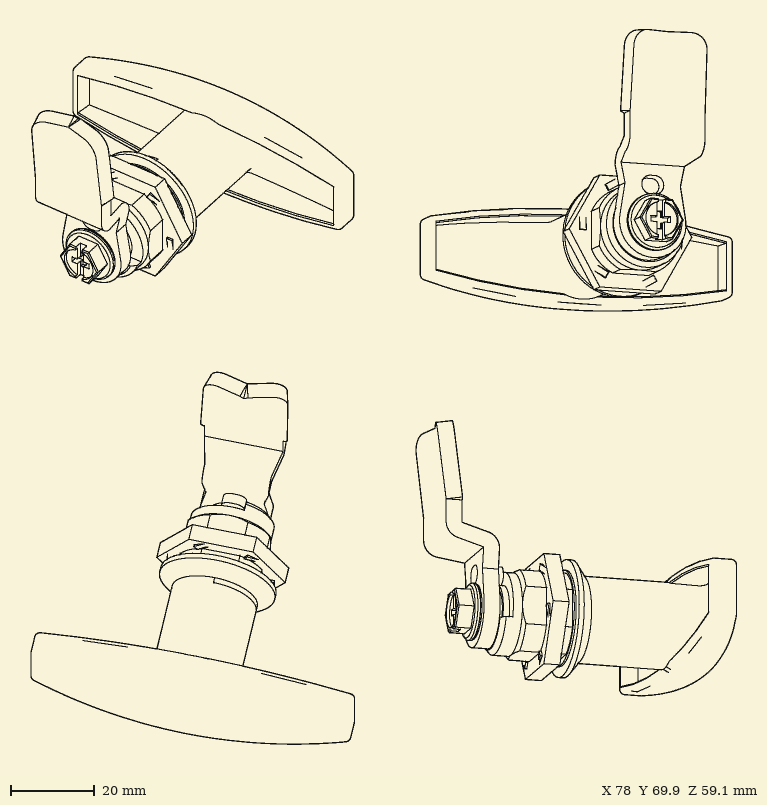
import cadquery as cq
import math


GRIP_LENGTH = 78
GRIP_MID_HEIGHT = 22.8
GRIP_END_HEIGHT = 14.35
GRIP_REAR = 25.3
GRIP_CROWN = 36.2
GRIP_CROWN_DROP = 4.4
GRIP_FILLET = 1.4
GRIP_RIM_FILLET = 1.25
GRIP_SKIN = 2.35
RIM_END_WALL = 1.9
RIM_SIDE_WALL = 1.95
POCKET_END_LEAN = 0.55
POCKET_SIDE_TAPER = 2
POCKET_LIP_CHAMFER = 0.3
SHAFT_ROOT_FILLET = 1.55

SHAFT_RADIUS = 10.45
SHAFT_END = 4.1
STOP_HEIGHT = 1.3

FLANGE_RADIUS = 14.1
FLANGE_RIM = 1.25
SEAT_RADIUS = 11.55
SEAT_HEIGHT = 0.5
THREAD_RADIUS = 11.0
BODY_RADIUS = 10.0
THREAD_END = -12.0
THREAD_CHAMFER = 0.85
HOUSING_END = -17.95
HOUSING_CHAMFER = 1.2
TRACK_DEPTH = 2.8
TRACK_RADIUS = 6.8
TRACK_STEP_RADIUS = 5.9
TRACK_STEP_DEPTH = 1.25
TRACK_CLEARANCE = 0.2

NUT_FLATS = 27.15
NUT_TOP = -3.0
NUT_THICKNESS = 4.0
TOOTH_RADIUS = 12.25
TOOTH_WIDTH = 1.6
TOOTH_LENGTH = 3.0
TOOTH_HEIGHT = 0.55
SIDES = 6

CAM_THICKNESS = 4.0
CAM_HUB_RADIUS = 8.5
HUB_ARC_Z = 1.6
WAIST_HALF_WIDTH = 7.1
WAIST_Z = 9.1
NECK_HALF_WIDTH = 8.1
NECK_Z = 14.05
BLADE_HALF_WIDTH = 9.6
BLADE_OFFSET = 9.75
CRANK_ANGLE = 12
CAM_TOP = 44.5
FOLD_Z = 24.8
WING_ANGLE = 16
WING_CORNER_RADIUS = 4.05
STUD_LENGTH = 5.6
STUD_WIDTH = 4.5
STUD_HEIGHT = 2.5
CAM_OFFSET = -0.15
DIMPLE_DEPTH = 2.35
DIMPLE_TAPER = 8

WASHER_RADIUS = 6.6
WASHER_THICKNESS = 0.4
BOLT_FLANGE_RADIUS = 6.9
BOLT_FLANGE_THICKNESS = 1.25
BOLT_FLANGE_CHAMFER = 0.55
SHANK_RADIUS = 3.0
SHANK_DEPTH = 6.25
HEAD_FLATS = 9.6
HEAD_HEIGHT = 4.05
HEAD_CHAMFER = 0.3
CUP_RADIUS = 4.1
CUP_DEPTH = 0.8
SLOT_WIDTH = 1.9
SLOT_DEPTH = 2.0
CROSS_LENGTH = 5.0
CROSS_HEIGHT = 4.2
CROSS_WIDTH = 1.4
CROSS_DEPTH = 2.8


def facing_rear(y):
    """Workplane at the given Y with local axes X and Z, its normal along -Y."""
    return cq.Workplane("XZ", origin=(0, y, 0))


def disc(radius, y_top, y_bottom):
    """Cylinder on the spindle axis between two Y positions."""
    return facing_rear(y_top).circle(radius).extrude(y_top - y_bottom)


def hexagon(flats, y_top, thickness):
    """Hexagonal prism on the spindle axis with corners on the X axis."""
    corners = flats / math.cos(math.pi / SIDES)
    return facing_rear(y_top).polygon(SIDES, corners).extrude(thickness)


def barrel(workplane, half_length, end_half, mid_half):
    """Outline with straight ends and bulging long sides."""
    return (
        workplane.moveTo(-half_length, -end_half)
        .threePointArc((0, -mid_half), (half_length, -end_half))
        .lineTo(half_length, end_half)
        .threePointArc((0, mid_half), (-half_length, end_half))
        .close()
    )


def under_crown(crown, rim_half, shoulder_half):
    """Block under a crowned surface: `crown` is its highest Y, the halves are its end positions."""
    shoulder = crown - GRIP_CROWN_DROP
    return (
        cq.Workplane("XY")
        .moveTo(-rim_half, GRIP_REAR)
        .lineTo(rim_half, GRIP_REAR)
        .lineTo(shoulder_half, shoulder)
        .threePointArc((0, crown), (-shoulder_half, shoulder))
        .close()
        .extrude(GRIP_MID_HEIGHT, both=True)
    )


def quarter_stop():
    """Quarter disc in the -X, +Z quadrant between shaft end and housing."""
    quadrant = cq.Workplane("XY").box(
        SHAFT_RADIUS, STOP_HEIGHT, SHAFT_RADIUS, centered=False
    ).translate((-SHAFT_RADIUS, SHAFT_END, 0))
    return disc(SHAFT_RADIUS, SHAFT_END + STOP_HEIGHT, SHAFT_END).intersect(quadrant)


def make_handle():
    half = GRIP_LENGTH / 2
    end_half = GRIP_END_HEIGHT / 2
    mid_half = GRIP_MID_HEIGHT / 2
    depth = GRIP_CROWN - GRIP_REAR
    grip = barrel(facing_rear(GRIP_REAR), half, end_half, mid_half).extrude(-depth)
    grip = grip.intersect(under_crown(GRIP_CROWN, half, half))
    grip = grip.edges("|Y").fillet(GRIP_FILLET)
    grip = grip.edges(">Y").fillet(GRIP_FILLET)
    grip = grip.faces("<Y").edges().fillet(GRIP_RIM_FILLET)

    floor_crown = GRIP_CROWN - GRIP_SKIN
    pocket_half = half - RIM_END_WALL
    pocket = barrel(
        facing_rear(GRIP_REAR), half, end_half - RIM_SIDE_WALL, mid_half - RIM_SIDE_WALL
    ).extrude(-depth, taper=POCKET_SIDE_TAPER)
    lip = barrel(
        facing_rear(GRIP_REAR),
        half,
        end_half - RIM_SIDE_WALL + POCKET_LIP_CHAMFER,
        mid_half - RIM_SIDE_WALL + POCKET_LIP_CHAMFER,
    ).extrude(-POCKET_LIP_CHAMFER, taper=45)
    pocket = pocket.union(lip).intersect(
        under_crown(floor_crown, pocket_half, pocket_half - POCKET_END_LEAN)
    )

    shaft = disc(SHAFT_RADIUS, floor_crown, SHAFT_END)
    handle = grip.cut(pocket).union(shaft)
    near_floor = cq.selectors.BoxSelector(
        (-SHAFT_RADIUS, floor_crown - 0.8, -SHAFT_RADIUS), (SHAFT_RADIUS, floor_crown, SHAFT_RADIUS)
    )
    handle = handle.edges(near_floor).fillet(SHAFT_ROOT_FILLET)
    return handle.cut(quarter_stop())


def thread_section(y_top, y_bottom):
    """Threaded barrel with four flats, used for the housing and the nut bore."""
    across = 2 * BODY_RADIUS
    square = facing_rear(y_top).rect(across, across).extrude(y_top - y_bottom)
    return disc(THREAD_RADIUS, y_top, y_bottom).intersect(square)


def stud_track():
    """Recess in the housing end, open outwards, letting the stud swing a quarter turn."""
    clearance = STUD_LENGTH / 2 + TRACK_CLEARANCE
    size = 2 * BODY_RADIUS
    floor = HOUSING_END + TRACK_DEPTH
    corner = (
        facing_rear(floor)
        .rect(size, size, centered=False)
        .extrude(TRACK_DEPTH)
        .translate((-clearance, 0, -clearance))
    )
    post = disc(TRACK_RADIUS, floor, HOUSING_END + TRACK_STEP_DEPTH).union(
        disc(TRACK_STEP_RADIUS, floor, HOUSING_END)
    )
    return corner.cut(post)


def shank(y_top):
    """Bolt shank from the given Y down to the underside of the bolt flange."""
    return disc(SHANK_RADIUS, y_top, HOUSING_END - CAM_THICKNESS - WASHER_THICKNESS)


def make_housing():
    flange = (
        cq.Workplane("XY")
        .moveTo(0, SHAFT_END)
        .lineTo(SHAFT_RADIUS, SHAFT_END)
        .lineTo(FLANGE_RADIUS, FLANGE_RIM)
        .lineTo(FLANGE_RADIUS, 0)
        .lineTo(SEAT_RADIUS, 0)
        .lineTo(SEAT_RADIUS, -SEAT_HEIGHT)
        .lineTo(0, -SEAT_HEIGHT)
        .close()
        .revolve(360, (0, 0), (0, 1))
    )
    barrel_envelope = (
        cq.Workplane("XY")
        .moveTo(0, 0)
        .lineTo(THREAD_RADIUS, 0)
        .lineTo(THREAD_RADIUS, THREAD_END)
        .lineTo(BODY_RADIUS, THREAD_END - THREAD_CHAMFER)
        .lineTo(BODY_RADIUS, HOUSING_END + HOUSING_CHAMFER)
        .lineTo(BODY_RADIUS - HOUSING_CHAMFER, HOUSING_END)
        .lineTo(0, HOUSING_END)
        .close()
        .revolve(360, (0, 0), (0, 1))
    )
    body = thread_section(0, HOUSING_END).intersect(barrel_envelope)
    housing = flange.union(body).union(quarter_stop())
    return housing.cut(stud_track()).cut(shank(HOUSING_END + SHANK_DEPTH))


def nut_tooth():
    """Ramp on the cam-side nut face, highest on the radial line along -X."""
    face = NUT_TOP - NUT_THICKNESS
    return (
        cq.Workplane("YZ", origin=(-TOOTH_RADIUS - TOOTH_WIDTH / 2, 0, 0))
        .polyline([(face, 0), (face - TOOTH_HEIGHT, 0), (face, TOOTH_LENGTH)])
        .close()
        .extrude(TOOTH_WIDTH)
    )


def make_nut():
    nut = hexagon(NUT_FLATS, NUT_TOP, NUT_THICKNESS)
    middle = NUT_TOP - NUT_THICKNESS / 2
    for index in range(SIDES):
        tooth = nut_tooth().rotate((0, 0, 0), (0, 1, 0), index * 360 / SIDES)
        opposite = tooth.rotate((0, middle, 0), (1, middle, 0), 180)
        nut = nut.union(tooth).union(opposite)
    return nut.cut(thread_section(0, HOUSING_END))


def make_cam():
    t = CAM_THICKNESS
    hub_back = HOUSING_END
    hub_front = hub_back - t
    blade_back = hub_back - BLADE_OFFSET
    blade_front = blade_back - t

    slope = math.radians(CRANK_ANGLE)
    sine = math.sin(slope)
    cosine = math.cos(slope)
    crank_reach = hub_front - blade_back
    crank_rise = (t + crank_reach * sine) / cosine
    blade_z = NECK_Z + crank_rise

    hub_arc_x = math.sqrt(CAM_HUB_RADIUS**2 - HUB_ARC_Z**2)
    hub = (
        facing_rear(hub_back)
        .moveTo(-hub_arc_x, HUB_ARC_Z)
        .threePointArc((0, -CAM_HUB_RADIUS), (hub_arc_x, HUB_ARC_Z))
        .lineTo(WAIST_HALF_WIDTH, WAIST_Z)
        .lineTo(NECK_HALF_WIDTH, NECK_Z)
        .lineTo(-NECK_HALF_WIDTH, NECK_Z)
        .lineTo(-WAIST_HALF_WIDTH, WAIST_Z)
        .close()
        .extrude(t)
    )

    half_turn = math.radians(90 - CRANK_ANGLE) / 2
    bend_y = t * math.cos(half_turn)
    bend_z = t * math.sin(half_turn)
    side = (
        cq.Workplane("YZ")
        .moveTo(hub_front, NECK_Z)
        .lineTo(hub_back, NECK_Z)
        .threePointArc((hub_front + bend_y, NECK_Z + bend_z), (hub_front + t * sine, NECK_Z + t * cosine))
        .lineTo(blade_back, blade_z)
        .lineTo(blade_front, blade_z)
        .threePointArc((blade_back - bend_y, blade_z - bend_z), (blade_back - t * sine, blade_z - t * cosine))
        .close()
        .extrude(BLADE_HALF_WIDTH, both=True)
    )
    slope_length = crank_reach * cosine + crank_rise * sine
    slope_plane = cq.Plane(origin=(0, hub_front, NECK_Z), xDir=(1, 0, 0), normal=(0, sine, cosine))
    flare = (
        cq.Workplane(slope_plane)
        .polyline([
            (-NECK_HALF_WIDTH, 2 * t),
            (NECK_HALF_WIDTH, 2 * t),
            (NECK_HALF_WIDTH, 0),
            (BLADE_HALF_WIDTH, -slope_length),
            (BLADE_HALF_WIDTH, -slope_length - 2 * t),
            (-BLADE_HALF_WIDTH, -slope_length - 2 * t),
            (-BLADE_HALF_WIDTH, -slope_length),
            (-NECK_HALF_WIDTH, 0),
        ])
        .close()
        .extrude(2 * t, both=True)
    )
    crank = side.intersect(flare)

    blade = (
        facing_rear(blade_back)
        .polyline([
            (-BLADE_HALF_WIDTH, blade_z),
            (BLADE_HALF_WIDTH, blade_z),
            (BLADE_HALF_WIDTH, FOLD_Z),
            (0, CAM_TOP),
            (-BLADE_HALF_WIDTH, FOLD_Z),
        ])
        .close()
        .extrude(t)
    )
    wing = cam_wing(blade_back, blade_front)
    cam = hub.union(crank).union(blade).union(wing).union(wing.mirror("YZ"))

    stud_seat = facing_rear(hub_back).center(0, WAIST_Z)
    stud = stud_seat.slot2D(STUD_LENGTH, STUD_WIDTH).extrude(-STUD_HEIGHT)
    dimple = (
        facing_rear(hub_front)
        .center(0, WAIST_Z)
        .slot2D(STUD_LENGTH, STUD_WIDTH)
        .extrude(-DIMPLE_DEPTH, taper=DIMPLE_TAPER)
    )
    cam = cam.union(stud).cut(dimple).translate((CAM_OFFSET, 0, 0))
    return cam.cut(shank(HOUSING_END))


def cam_wing(blade_back, blade_front):
    """Corner of the blade at -X, folded forwards, with the rounded outside of its fold."""
    fold_low = (-BLADE_HALF_WIDTH, blade_front, FOLD_Z)
    fold_high = (0, blade_front, CAM_TOP)
    fold_length = math.hypot(BLADE_HALF_WIDTH, CAM_TOP - FOLD_Z)
    along = (BLADE_HALF_WIDTH / fold_length, 0, (CAM_TOP - FOLD_Z) / fold_length)
    outward = (-along[2], 0, along[0])

    flap = (
        facing_rear(blade_back)
        .polyline([
            (-BLADE_HALF_WIDTH, FOLD_Z),
            (0, CAM_TOP),
            (-BLADE_HALF_WIDTH, CAM_TOP),
        ])
        .close()
        .extrude(CAM_THICKNESS)
        .edges("|Y and <X and >Z")
        .fillet(WING_CORNER_RADIUS)
    )
    flap = flap.rotate(fold_low, fold_high, WING_ANGLE)
    fold_plane = cq.Plane(origin=fold_low, xDir=along, normal=outward)
    fold = (
        cq.Workplane(fold_plane)
        .rect(fold_length, CAM_THICKNESS, centered=False)
        .revolve(WING_ANGLE, (0, 0), (1, 0))
    )
    return flap.union(fold)


def make_washer():
    top = HOUSING_END - CAM_THICKNESS
    return disc(WASHER_RADIUS, top, top - WASHER_THICKNESS).cut(shank(top))


def make_bolt():
    flange_top = HOUSING_END - CAM_THICKNESS - WASHER_THICKNESS
    head_base = flange_top - BOLT_FLANGE_THICKNESS
    head_end = head_base - HEAD_HEIGHT
    flange = disc(BOLT_FLANGE_RADIUS, flange_top, head_base).faces("<Y").edges().chamfer(BOLT_FLANGE_CHAMFER)
    head = hexagon(HEAD_FLATS, head_base, HEAD_HEIGHT).faces("<Y").edges().chamfer(HEAD_CHAMFER)
    cup = disc(CUP_RADIUS, head_end + CUP_DEPTH, head_end)
    slot = facing_rear(head_end).rect(SLOT_WIDTH, 2 * HEAD_FLATS).extrude(-SLOT_DEPTH)
    bar = facing_rear(head_end).rect(CROSS_LENGTH, CROSS_WIDTH).extrude(-CROSS_DEPTH)
    upright = facing_rear(head_end).rect(CROSS_WIDTH, CROSS_HEIGHT).extrude(-CROSS_DEPTH)
    bolt = flange.union(head).union(shank(HOUSING_END + SHANK_DEPTH))
    return bolt.cut(cup).cut(slot).cut(bar).cut(upright)


handle = make_handle()
housing = make_housing()
nut = make_nut()
cam = make_cam()
washer = make_washer()
bolt = make_bolt()

result = cq.Compound.makeCompound([
    handle.val(),
    housing.val(),
    nut.val(),
    cam.val(),
    washer.val(),
    bolt.val(),
])